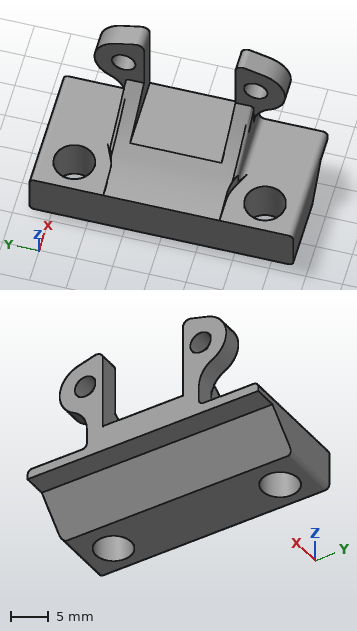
import cadquery as cq
import math

depth = 17.5
width = 36.0
height = 21.25
base_height = 6.48
base_edge_radius = 0.75
lip_height = 5.0
bottom_depth = 9.0

screw_diameter = 5.5
screw_x = 4.25
screw_y = 13.0

web_half_width = 8.75
web_foot_radius = 0.72
web_top_radius = 0.5
web_rear_height = 13.0
slope_mid_x = 7.27
slope_mid_z = 8.95

nose_half_width = 7.92
flare_start_x = 3.42
flare_radius = 5.65
flare_angle = math.radians(23.7)

slot_half_width = 6.23
slot_floor = 9.0

lug_thickness = 3.02
lug_x = depth - lug_thickness
lug_radius = 4.0
lug_neck_radius = 4.0
lug_tip_radius = 1.0
pin_diameter = 3.2
pin_y = screw_y - lug_radius
pin_z = 16.65


def make_base():
    block = (
        cq.Workplane("XY")
        .box(depth, width, base_height, centered=(False, True, False))
        .edges("|X")
        .fillet(base_edge_radius)
    )
    under_cut = (
        cq.Workplane("XZ")
        .moveTo(bottom_depth, 0)
        .lineTo(bottom_depth + lip_height, lip_height)
        .lineTo(depth, lip_height)
        .lineTo(depth, 0)
        .close()
        .extrude(width / 2, both=True)
    )
    return block.cut(under_cut)


def make_foot_fillet(side):
    """Concave strip joining one side of the web to the base."""
    wall = side * web_half_width
    toe = side * (web_half_width + web_foot_radius)
    crest = base_height + web_foot_radius
    bend = web_foot_radius * (1 - math.sqrt(0.5))
    return (
        cq.Workplane("YZ")
        .moveTo(0, base_height)
        .lineTo(toe, base_height)
        .threePointArc((wall + side * bend, base_height + bend), (wall, crest))
        .lineTo(0, crest)
        .close()
        .extrude(depth)
    )


def make_flare_outline():
    """Plan limit of the web: narrow nose, tangent arc, then a straight flare."""
    def arc_point(angle):
        x = flare_start_x + flare_radius * math.sin(angle)
        y = nose_half_width + flare_radius * (1 - math.cos(angle))
        return x, y

    mid_x, mid_y = arc_point(flare_angle / 2)
    end_x, end_y = arc_point(flare_angle)
    rear_y = end_y + (depth - end_x) * math.tan(flare_angle)
    half = (
        cq.Workplane("XY")
        .lineTo(0, nose_half_width)
        .lineTo(flare_start_x, nose_half_width)
        .threePointArc((mid_x, mid_y), (end_x, end_y))
        .lineTo(depth, rear_y)
        .lineTo(depth, 0)
        .close()
        .extrude(height)
    )
    return half.union(half.mirror("XZ"))


def make_web():
    def make_sloped_body(half_width):
        return (
            cq.Workplane("XZ")
            .moveTo(0, base_height)
            .threePointArc((slope_mid_x, slope_mid_z), (lug_x, web_rear_height))
            .lineTo(depth, web_rear_height)
            .lineTo(depth, base_height)
            .close()
            .extrude(half_width, both=True)
        )

    web = make_sloped_body(web_half_width).edges("%CIRCLE").fillet(web_top_radius)
    foot = make_foot_fillet(1).union(make_foot_fillet(-1))
    foot = foot.intersect(make_sloped_body(width / 2))
    return web.union(foot).intersect(make_flare_outline())


def make_lug():
    tip_y = slot_half_width + lug_tip_radius
    tip_z = height - lug_tip_radius
    tip_offset = math.hypot(pin_y - tip_y, tip_z - pin_z)
    tip_bearing = math.atan2(pin_y - tip_y, tip_z - pin_z)
    tilt = math.acos((lug_radius - lug_tip_radius) / tip_offset) - tip_bearing

    neck_y = web_half_width + lug_neck_radius
    centre_gap = lug_radius + lug_neck_radius
    neck_z = pin_z - math.sqrt(centre_gap**2 - (neck_y - pin_y) ** 2)
    neck_angle = math.atan2(pin_z - neck_z, pin_y - neck_y)

    def on_circle(y, z, radius, angle):
        return y + radius * math.cos(angle), z + radius * math.sin(angle)

    edge_angle = math.pi / 2 - tilt
    tip_mid_angle = (math.pi + edge_angle) / 2
    neck_mid_angle = (math.pi + neck_angle) / 2
    lug = (
        cq.Workplane("YZ")
        .workplane(offset=lug_x)
        .moveTo(slot_half_width, lip_height)
        .lineTo(slot_half_width, tip_z)
        .threePointArc(
            on_circle(tip_y, tip_z, lug_tip_radius, tip_mid_angle),
            on_circle(tip_y, tip_z, lug_tip_radius, edge_angle),
        )
        .lineTo(*on_circle(pin_y, pin_z, lug_radius, edge_angle))
        .threePointArc(
            (pin_y + lug_radius, pin_z),
            on_circle(neck_y, neck_z, lug_neck_radius, neck_angle),
        )
        .threePointArc(
            on_circle(neck_y, neck_z, lug_neck_radius, neck_mid_angle),
            (web_half_width, neck_z),
        )
        .lineTo(web_half_width, lip_height)
        .close()
        .extrude(lug_thickness)
    )
    pin_hole = (
        cq.Workplane("YZ")
        .workplane(offset=lug_x)
        .center(pin_y, pin_z)
        .circle(pin_diameter / 2)
        .extrude(lug_thickness)
    )
    return lug.cut(pin_hole)


slot = (
    cq.Workplane("XY")
    .box(depth, 2 * slot_half_width, height, centered=(False, True, False))
    .translate((0, 0, slot_floor))
)
screw_holes = (
    cq.Workplane("XY")
    .pushPoints([(screw_x, screw_y), (screw_x, -screw_y)])
    .circle(screw_diameter / 2)
    .extrude(base_height)
)
lug = make_lug()

result = (
    make_base()
    .union(make_web())
    .cut(slot)
    .union(lug)
    .union(lug.mirror("XZ"))
    .cut(screw_holes)
)